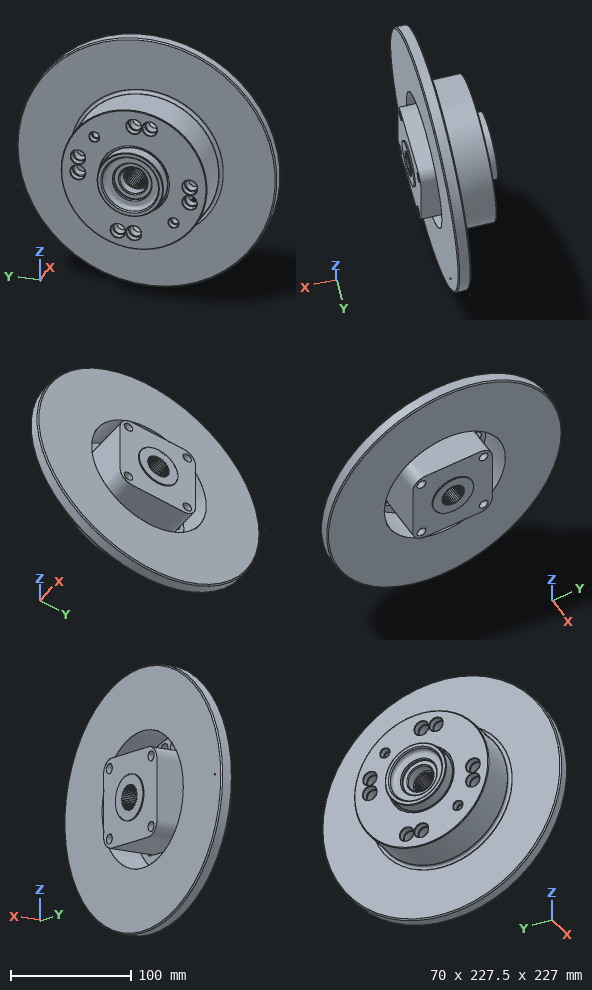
import cadquery as cq
import math

OVERALL_WIDTH = 227.5

DISC_DIAMETER = 227.0
DISC_THICKNESS = 11.1
DISC_FRONT_X = 34.8
DISC_EDGE_CHAMFER = 1.1
HAT_DIAMETER = 127.5
HAT_EDGE_CHAMFER = 0.7
HAT_WALL = 6.0
HAT_BORE_DIAMETER = 117.0
HAT_CENTRE_HOLE = 62.0
COLLAR_DIAMETER = 127.9
COLLAR_LENGTH = 2.0
GROOVE_OUTER_DIAMETER = 134.0

HUB_LENGTH = 70.0
PILOT_DIAMETER = 58.0
PILOT_LENGTH = 10.2
PILOT_RIM_LENGTH = 0.7
PILOT_FACE_DIAMETER = 56.6
SPIGOT_DIAMETER = 59.0
SPIGOT_FRONT_X = 1.0
FLANGE_THICKNESS = 8.0
TAIL_DIAMETER = 39.5
RECESS_DIAMETER = 49.0
RECESS_DEPTH = 6.0
RECESS_FILLET = 3.0
RECESS_CHAMFER = 1.1
COUNTERBORE_DIAMETER = 33.0
COUNTERBORE_DEPTH = 2.7
COUNTERBORE_CHAMFER = 1.0
BORE_DIAMETER = 24.0
BORE_DEPTH = 9.8
BORE_CHAMFER = 1.0
SPLINE_ROOT_DIAMETER = 21.5
SPLINE_TIP_DIAMETER = 20.2
SPLINE_TEETH = 22

BOLT_CIRCLE_RADIUS = 49.0
SECOND_BOLT_CIRCLE_RADIUS = 50.7
SECOND_BOLT_ANGLE = 16
HAT_BOLT_HOLE = 13.0
HAT_SECOND_BOLT_HOLE = 12.5
HAT_SCREW_HOLE = 8.6
HAT_HOLE_CHAMFER = 0.5
HUB_BOLT_HOLE = 10.7
HUB_SCREW_HOLE = 6.5

BLOCK_WIDTH = 77.0
BLOCK_CORNER_RADIUS = 12.3
BLOCK_FRONT_FILLET = 1.4
BLOCK_BOLT_HOLE = 8.5
BLOCK_BOLT_SPACING = 60.0
TAIL_OVERHANG = 1.1

PIN_DIAMETER = 1.0
PIN_LENGTH = 0.5
DISC_PIN_MIDDLE_X = 36.2
DISC_PIN_SPACING = 75.0
REAR_PIN_MIDDLE_X = 52.8

DISC_BACK_X = DISC_FRONT_X + DISC_THICKNESS
FLANGE_BACK_X = HAT_WALL + FLANGE_THICKNESS
HUB_FRONT_X = -PILOT_LENGTH
HUB_BACK_X = HUB_FRONT_X + HUB_LENGTH
RECESS_FLOOR_X = HUB_FRONT_X + RECESS_DEPTH
COUNTERBORE_FLOOR_X = RECESS_FLOOR_X + COUNTERBORE_DEPTH
SPLINE_FRONT_X = COUNTERBORE_FLOOR_X + BORE_DEPTH
BLOCK_BACK_X = HUB_BACK_X - TAIL_OVERHANG

BOLT_ANGLES = [0, 90, 180, 270]
SECOND_BOLT_ANGLES = [angle + SECOND_BOLT_ANGLE for angle in BOLT_ANGLES]
SCREW_ANGLES = [45, 225]


def plane_at(x):
    """Sketch plane facing +X, with its local axes along Y and Z."""
    return cq.Workplane("YZ", origin=(x, 0, 0))


def cylinder(diameter, start_x, end_x):
    return plane_at(start_x).circle(diameter / 2).extrude(end_x - start_x)


def revolve_about_x(profile):
    return profile.revolve(360, (0, 0, 0), (1, 0, 0))


def chamfer_mouth(diameter, chamfer, x):
    """Cutter that chamfers the front edge of a bore whose mouth is at x."""
    radius = diameter / 2
    outline = [(x, 0), (x, radius + chamfer), (x + chamfer, radius), (x + chamfer, 0)]
    return revolve_about_x(cq.Workplane("XY").polyline(outline).close())


def cut_hole_circle(body, hole_diameter, circle_radius, angles, start_x, end_x, chamfer=0):
    """Drill holes along X on a circle, with an optional chamfer at their front mouths."""
    drill = cylinder(hole_diameter, start_x, end_x)
    if chamfer:
        drill = drill.union(chamfer_mouth(hole_diameter, chamfer, start_x))
    for angle in angles:
        y = circle_radius * math.cos(math.radians(angle))
        z = circle_radius * math.sin(math.radians(angle))
        body = body.cut(drill.translate((0, y, z)))
    return body




def make_relief_groove():
    """Half-round groove in the disc face, around the foot of the hat."""
    outer_radius = GROOVE_OUTER_DIAMETER / 2
    inner_radius = COLLAR_DIAMETER / 2
    groove_radius = (outer_radius - inner_radius) / 2
    deepest_point = (DISC_FRONT_X + groove_radius, inner_radius + groove_radius)
    profile = (
        cq.Workplane("XY")
        .moveTo(DISC_FRONT_X, inner_radius)
        .threePointArc(deepest_point, (DISC_FRONT_X, outer_radius))
        .close()
    )
    return revolve_about_x(profile)


def make_disc():
    ring = cylinder(DISC_DIAMETER, DISC_FRONT_X, DISC_BACK_X).edges().chamfer(DISC_EDGE_CHAMFER)
    hat = cylinder(HAT_DIAMETER, 0, DISC_BACK_X).faces("<X").chamfer(HAT_EDGE_CHAMFER)
    collar = cylinder(COLLAR_DIAMETER, DISC_FRONT_X - COLLAR_LENGTH, DISC_BACK_X)
    disc = ring.cut(make_relief_groove()).union(hat).union(collar)
    disc = disc.cut(cylinder(HAT_BORE_DIAMETER, HAT_WALL, DISC_BACK_X))
    disc = disc.cut(cylinder(HAT_CENTRE_HOLE, 0, HAT_WALL))
    for diameter, radius, angles in [
        (HAT_BOLT_HOLE, BOLT_CIRCLE_RADIUS, BOLT_ANGLES),
        (HAT_SECOND_BOLT_HOLE, SECOND_BOLT_CIRCLE_RADIUS, SECOND_BOLT_ANGLES),
        (HAT_SCREW_HOLE, BOLT_CIRCLE_RADIUS, SCREW_ANGLES),
    ]:
        disc = cut_hole_circle(disc, diameter, radius, angles, 0, HAT_WALL, HAT_HOLE_CHAMFER)
    return disc




def make_hub_body():
    """Outside of the hub, turned in one profile with a fillet from the spigot to the flange."""
    pilot_radius = PILOT_DIAMETER / 2
    spigot_radius = SPIGOT_DIAMETER / 2
    flange_radius = HAT_BORE_DIAMETER / 2
    tail_radius = TAIL_DIAMETER / 2
    fillet_end_radius = HAT_CENTRE_HOLE / 2
    fillet = fillet_end_radius - spigot_radius
    fillet_middle = (
        HAT_WALL - fillet + fillet * math.sin(math.pi / 4),
        fillet_end_radius - fillet * math.cos(math.pi / 4),
    )
    profile = (
        cq.Workplane("XY")
        .moveTo(HUB_FRONT_X, 0)
        .lineTo(HUB_FRONT_X, PILOT_FACE_DIAMETER / 2)
        .lineTo(HUB_FRONT_X + PILOT_RIM_LENGTH, pilot_radius)
        .lineTo(SPIGOT_FRONT_X, pilot_radius)
        .lineTo(SPIGOT_FRONT_X, spigot_radius)
        .lineTo(HAT_WALL - fillet, spigot_radius)
        .threePointArc(fillet_middle, (HAT_WALL, fillet_end_radius))
        .lineTo(HAT_WALL, flange_radius)
        .lineTo(FLANGE_BACK_X, flange_radius)
        .lineTo(FLANGE_BACK_X, tail_radius)
        .lineTo(HUB_BACK_X, tail_radius)
        .lineTo(HUB_BACK_X, 0)
        .close()
    )
    return revolve_about_x(profile)


def cut_stepped_bore(hub):
    recess = cylinder(RECESS_DIAMETER, HUB_FRONT_X, RECESS_FLOOR_X).edges(">X").fillet(RECESS_FILLET)
    hub = hub.cut(recess)
    hub = hub.cut(cylinder(COUNTERBORE_DIAMETER, RECESS_FLOOR_X, COUNTERBORE_FLOOR_X))
    hub = hub.cut(cylinder(BORE_DIAMETER, COUNTERBORE_FLOOR_X, SPLINE_FRONT_X))
    for diameter, chamfer, x in [
        (RECESS_DIAMETER, RECESS_CHAMFER, HUB_FRONT_X),
        (COUNTERBORE_DIAMETER, COUNTERBORE_CHAMFER, RECESS_FLOOR_X),
        (BORE_DIAMETER, BORE_CHAMFER, COUNTERBORE_FLOOR_X),
    ]:
        hub = hub.cut(chamfer_mouth(diameter, chamfer, x))
    return hub


def make_spline_hole():
    """Splined hole: tooth tips and root lands of equal angle, with straight flanks."""
    tip_radius = SPLINE_TIP_DIAMETER / 2
    root_radius = SPLINE_ROOT_DIAMETER / 2
    pitch = 2 * math.pi / SPLINE_TEETH
    outline = []
    for tooth in range(SPLINE_TEETH):
        for radius, pitch_share in [
            (tip_radius, -1 / 4),
            (tip_radius, 1 / 4),
            (root_radius, 1 / 4),
            (root_radius, 3 / 4),
        ]:
            angle = (tooth + 1 / 2 + pitch_share) * pitch
            outline.append((radius * math.cos(angle), radius * math.sin(angle)))
    return plane_at(SPLINE_FRONT_X).polyline(outline).close().extrude(HUB_BACK_X - SPLINE_FRONT_X)


def make_block():
    """Rounded square block on the tail, with a bolt hole in each corner."""
    length = BLOCK_BACK_X - FLANGE_BACK_X
    block = plane_at(FLANGE_BACK_X).rect(BLOCK_WIDTH, BLOCK_WIDTH).extrude(length)
    block = block.edges("|X").fillet(BLOCK_CORNER_RADIUS)
    block = block.faces("<X").edges().fillet(BLOCK_FRONT_FILLET)
    corners = plane_at(FLANGE_BACK_X).rect(BLOCK_BOLT_SPACING, BLOCK_BOLT_SPACING, forConstruction=True)
    return block.cut(corners.vertices().circle(BLOCK_BOLT_HOLE / 2).extrude(length))


def make_hub():
    hub = make_hub_body().union(make_block())
    hub = cut_stepped_bore(hub).cut(make_spline_hole())
    for diameter, radius, angles in [
        (HUB_BOLT_HOLE, BOLT_CIRCLE_RADIUS, BOLT_ANGLES),
        (HUB_BOLT_HOLE, SECOND_BOLT_CIRCLE_RADIUS, SECOND_BOLT_ANGLES),
        (HUB_SCREW_HOLE, BOLT_CIRCLE_RADIUS, SCREW_ANGLES),
    ]:
        hub = cut_hole_circle(hub, diameter, radius, angles, HAT_WALL, FLANGE_BACK_X)
    return hub




def make_pin(middle_x, z):
    y = OVERALL_WIDTH - DISC_DIAMETER / 2 - PIN_DIAMETER / 2
    start_x = middle_x - PIN_LENGTH / 2
    return cylinder(PIN_DIAMETER, start_x, start_x + PIN_LENGTH).translate((0, y, z))


disc = make_disc()
hub = make_hub()
pin_places = [
    (DISC_PIN_MIDDLE_X, -DISC_PIN_SPACING / 2),
    (DISC_PIN_MIDDLE_X, DISC_PIN_SPACING / 2),
    (REAR_PIN_MIDDLE_X, 0),
]
pins = [make_pin(middle_x, z) for middle_x, z in pin_places]

result = cq.Compound.makeCompound([disc.val(), hub.val(), *[pin.val() for pin in pins]])